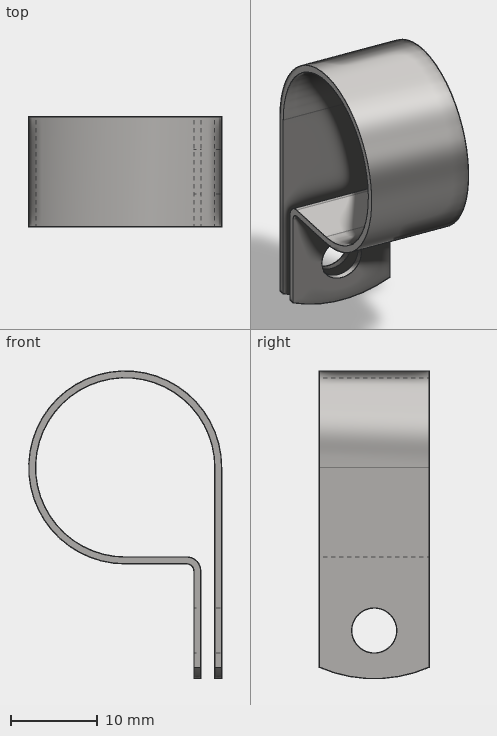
import cadquery as cq
import math

outer_diameter = 22.25
thickness = 0.8128
width = 12.7
overall_height = 35.48
leg_gap = 1.6
bend_inner_radius = thickness
hole_diameter = 5.16
hole_height_above_tip = 5.56
tip_sagitta = 1.33

outer_radius = outer_diameter / 2
inner_radius = outer_radius - thickness
bend_outer_radius = bend_inner_radius + thickness
tip_z = outer_radius - overall_height
hole_z = tip_z + hole_height_above_tip
half_width = width / 2
short_leg_right = inner_radius - leg_gap
short_leg_left = short_leg_right - thickness
bend_center_x = short_leg_right - bend_outer_radius
bend_center_z = -inner_radius - bend_outer_radius
diagonal = math.sqrt(0.5)


def bend_midpoint(radius):
    """Point halfway round the quarter bend at the given radius."""
    return (bend_center_x + radius * diagonal, bend_center_z + radius * diagonal)


def make_strap():
    """Bent strip: long leg, three-quarter ring, flat shelf, bend and short leg."""
    return (
        cq.Workplane("XZ")
        .moveTo(outer_radius, tip_z)
        .lineTo(outer_radius, 0)
        .threePointArc((-outer_radius * diagonal, outer_radius * diagonal), (0, -outer_radius))
        .lineTo(bend_center_x, -outer_radius)
        .threePointArc(bend_midpoint(bend_inner_radius), (short_leg_left, bend_center_z))
        .lineTo(short_leg_left, tip_z)
        .lineTo(short_leg_right, tip_z)
        .lineTo(short_leg_right, bend_center_z)
        .threePointArc(bend_midpoint(bend_outer_radius), (bend_center_x, -inner_radius))
        .lineTo(0, -inner_radius)
        .threePointArc((-inner_radius * diagonal, inner_radius * diagonal), (inner_radius, 0))
        .lineTo(inner_radius, tip_z)
        .close()
        .extrude(half_width, both=True)
    )


def make_side_envelope():
    """Block with the rounded tip, used to trim the ends of both legs."""
    shoulder_z = tip_z + tip_sagitta
    return (
        cq.Workplane("YZ")
        .moveTo(-half_width, outer_radius)
        .lineTo(-half_width, shoulder_z)
        .threePointArc((0, tip_z), (half_width, shoulder_z))
        .lineTo(half_width, outer_radius)
        .close()
        .extrude(outer_radius, both=True)
    )


def make_screw_hole():
    """Cylinder along X that passes through both legs."""
    return (
        cq.Workplane("YZ")
        .center(0, hole_z)
        .circle(hole_diameter / 2)
        .extrude(outer_radius, both=True)
    )


result = make_strap().intersect(make_side_envelope()).cut(make_screw_hole())